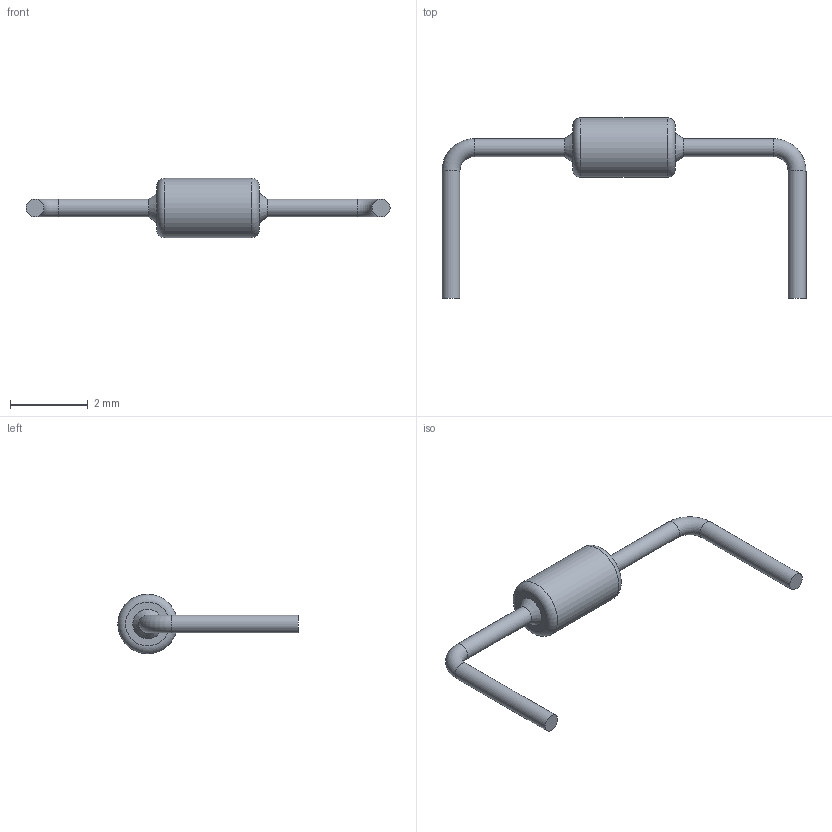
import cadquery as cq

body_length = 2.63
body_diameter = 1.53
body_edge_radius = 0.2

neck_length = 0.21
neck_base_diameter = 0.76

lead_diameter = 0.46
lead_pitch = 8.89
lead_reach = 3.865
bend_radius = 0.6

half_length = body_length / 2
half_pitch = lead_pitch / 2


def make_body():
    """Round body with rolled end edges."""
    return (
        cq.Workplane("YZ", origin=(-half_length, 0, 0))
        .circle(body_diameter / 2)
        .extrude(body_length)
        .edges()
        .fillet(body_edge_radius)
    )


def make_necks():
    """Cones tapering from both body ends down to the leads."""
    profile = [
        (-half_length - neck_length, 0),
        (-half_length - neck_length, lead_diameter / 2),
        (-half_length, neck_base_diameter / 2),
        (half_length, neck_base_diameter / 2),
        (half_length + neck_length, lead_diameter / 2),
        (half_length + neck_length, 0),
    ]
    return cq.Workplane("XY").polyline(profile).close().revolve(360, (0, 0, 0), (1, 0, 0))


def make_lead():
    """One continuous round wire through the body, bent at both sides."""
    bend_start = half_pitch - bend_radius
    path = (
        cq.Workplane("XY")
        .moveTo(-half_pitch, -lead_reach)
        .lineTo(-half_pitch, -bend_radius)
        .tangentArcPoint((-bend_start, 0), relative=False)
        .lineTo(bend_start, 0)
        .tangentArcPoint((half_pitch, -bend_radius), relative=False)
        .lineTo(half_pitch, -lead_reach)
    )
    return (
        cq.Workplane("XZ", origin=(-half_pitch, -lead_reach, 0))
        .circle(lead_diameter / 2)
        .sweep(path)
    )


result = make_body().union(make_necks()).union(make_lead())